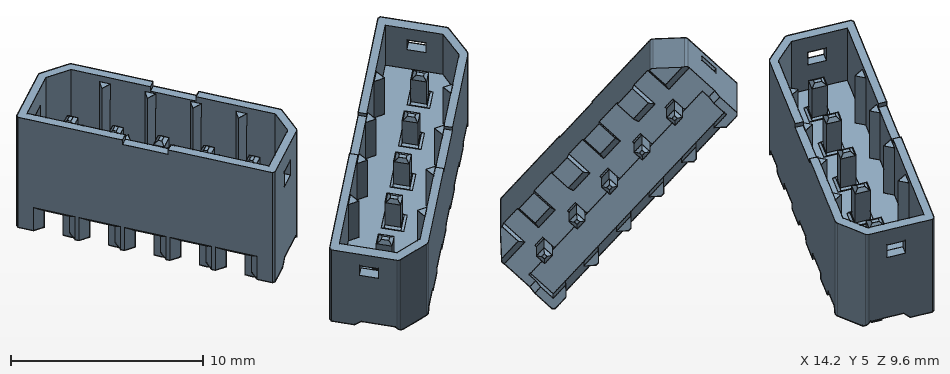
import cadquery as cq
import math


PIN_COUNT = 5
PITCH = 2.5

LENGTH = 14.2
DEPTH = 5.0
HEIGHT = 7.5
WALL = 0.45
FLOOR_Z = 3.3
REAR_DRAFT = 0.04
POLARITY_CHAMFER = 1.3
POLARITY_FILLET = 0.5 / 2
CORNER_CHAMFER = 0.11

NOTCH_WIDTH = PITCH
NOTCH_DEPTH = 0.3
WINDOW_SIZE = 1.01
WINDOW_Y = -0.4
WINDOW_Z = 5.8

RIB_COUNT = PIN_COUNT - 1
RIB_WIDTH = 0.61
RIB_DEPTH = 0.5
RIB_TOP_GAP = 0.4

PIN_Y = 0.1
PIN_WIDTH = 0.6
BLADE_DEPTH = 0.8
TAIL_DEPTH = PIN_WIDTH
PIN_TOP_Z = 5.88
PIN_BOTTOM_Z = -2.1
PIN_POINT = 0.2
BLADE_SHELF = 0.04
BLADE_FRONT = PIN_Y - BLADE_DEPTH / 2 - BLADE_SHELF

PAD_WIDTH = 1.0
PAD_BASE_DEPTH = 1.19
PAD_TOP_DEPTH = 0.9
PAD_HEIGHT = 0.05

CHANNEL_HEIGHT = 0.45
CHANNEL_ROOF_WIDTH = 1.8
CHANNEL_MOUTH_WIDTH = 2.51
POCKET_WIDTH = 1.39
POCKET_HEIGHT = 1.12
POCKET_FLARE = WALL
REAR_NOTCH_MOUTH = 1.3
REAR_NOTCH_ROOF = 1.05

CUT_MARGIN = 0.14


def row_positions(count):
    """X positions of a centred row with the pin pitch."""
    return [(i - (count - 1) / 2) * PITCH for i in range(count)]


def block(x_range, y_range, z_range):
    """Box given by its limits along each axis."""
    size = [high - low for low, high in (x_range, y_range, z_range)]
    corner = (x_range[0], y_range[0], z_range[0])
    return cq.Workplane("XY").box(*size, centered=False).translate(corner)


def outline(inset, chamfer, lean=0.0):
    """Plan points of the shell, offset inwards; `lean` moves its +Y side further in."""
    x = LENGTH / 2 - inset
    y = DEPTH / 2 - inset
    rear = y - lean
    return [
        (-x, -y),
        (x, -y),
        (x, y - chamfer),
        (x - chamfer, rear),
        (chamfer - x, rear),
        (-x, y - chamfer),
    ]


def make_cavity():
    """Open-topped cavity whose +Y wall leans inwards towards the floor."""
    chamfer = POLARITY_CHAMFER - WALL * (2 - math.sqrt(2))
    floor = cq.Workplane("XY", origin=(0, 0, FLOOR_Z))
    floor = floor.polyline(outline(WALL, chamfer, REAR_DRAFT)).close()
    rim = floor.workplane(offset=HEIGHT - FLOOR_Z).polyline(outline(WALL, chamfer)).close()
    return rim.loft(ruled=True)


def make_shell():
    """Outer block with its corner treatment and the open-topped cavity."""
    shell = cq.Workplane("XY").polyline(outline(0, POLARITY_CHAMFER)).close().extrude(HEIGHT)
    shell = shell.edges("|Z and <Y").chamfer(CORNER_CHAMFER)
    front_limit = DEPTH / 2 - POLARITY_CHAMFER - CUT_MARGIN
    rear_edges = cq.selectors.BoxSelector((-LENGTH, front_limit, 0), (LENGTH, DEPTH, HEIGHT))
    shell = shell.edges("|Z").edges(rear_edges).fillet(POLARITY_FILLET)
    return shell.cut(make_cavity())


def make_rib(x, side):
    """Triangular rib on the cavity floor; `side` is -1 for the -Y wall and 1 for the +Y wall."""
    wall_y = DEPTH / 2 - WALL
    root_y = wall_y + WALL / 2
    half = RIB_WIDTH / 2
    points = [
        (x - half, side * root_y),
        (x - half, side * wall_y),
        (x, side * (wall_y - RIB_DEPTH)),
        (x + half, side * wall_y),
        (x + half, side * root_y),
    ]
    height = HEIGHT - RIB_TOP_GAP - FLOOR_Z
    return cq.Workplane("XY", origin=(0, 0, FLOOR_Z)).polyline(points).close().extrude(height)


def trapezoid_prism(plane, centre, bottom_width, top_width, height, length):
    """Symmetric trapezoid with its base at `centre`, extruded by `length` along the plane normal."""
    points = [
        (-bottom_width / 2, 0),
        (bottom_width / 2, 0),
        (top_width / 2, height),
        (-top_width / 2, height),
    ]
    return cq.Workplane(plane, origin=centre).polyline(points).close().extrude(length)


def make_pad(x):
    """Low pad around a pin, sloping down on its +Y and -Y sides."""
    start = (x - PAD_WIDTH / 2, PIN_Y, FLOOR_Z)
    return trapezoid_prism("YZ", start, PAD_BASE_DEPTH, PAD_TOP_DEPTH, PAD_HEIGHT, PAD_WIDTH)


def make_rim_notch():
    """Shallow notch across both long walls at the rim."""
    return block(
        (-NOTCH_WIDTH / 2, NOTCH_WIDTH / 2), (-DEPTH, DEPTH), (HEIGHT - NOTCH_DEPTH, HEIGHT + CUT_MARGIN)
    )


def make_windows():
    """Square opening through both end walls."""
    return cq.Workplane("XY").box(2 * LENGTH, WINDOW_SIZE, WINDOW_SIZE).translate((0, WINDOW_Y, WINDOW_Z))


def make_channel():
    """Trapezoid channel, widest at the bottom, along the whole underside."""
    start = (-LENGTH, PIN_Y, 0)
    return trapezoid_prism("YZ", start, CHANNEL_MOUTH_WIDTH, CHANNEL_ROOF_WIDTH, CHANNEL_HEIGHT, 2 * LENGTH)


def make_front_hollow():
    """Hollow between the -Y wall and the pin blades, closed by the end walls."""
    half = LENGTH / 2 - WALL
    return block((-half, half), (WALL - DEPTH / 2, BLADE_FRONT), (0, POCKET_HEIGHT))


def make_front_pocket(x):
    """Pocket through the -Y wall, flared at 45 degrees on its top and sides."""
    return (
        cq.Workplane("XZ", origin=(x, -DEPTH / 2, 0))
        .rect(POCKET_WIDTH + 2 * POCKET_FLARE, 2 * (POCKET_HEIGHT + POCKET_FLARE))
        .workplane(offset=-POCKET_FLARE)
        .rect(POCKET_WIDTH, 2 * POCKET_HEIGHT)
        .loft(ruled=True)
    )


def make_rear_notch(index, x):
    """Notch from the channel out through the +Y wall: tapered and straight ones alternate."""
    tapered = index % 2 == 0
    mouth = REAR_NOTCH_MOUTH if tapered else POCKET_WIDTH
    roof = REAR_NOTCH_ROOF if tapered else POCKET_WIDTH
    return trapezoid_prism("XZ", (x, DEPTH, 0), mouth, roof, CHANNEL_HEIGHT, DEPTH - PIN_Y)


def blade_block(x, bottom_z, top_z):
    """Straight part of a pin blade, also used to cut its hole in the floor."""
    half = PIN_WIDTH / 2
    return block((x - half, x + half), (BLADE_FRONT, PIN_Y + BLADE_DEPTH / 2), (bottom_z, top_z))


def make_housing():
    housing = make_shell()
    for x in row_positions(RIB_COUNT):
        housing = housing.union(make_rib(x, -1)).union(make_rib(x, 1))
    housing = housing.cut(make_rim_notch()).cut(make_windows())
    housing = housing.cut(make_channel()).cut(make_front_hollow())
    for index, x in enumerate(row_positions(PIN_COUNT)):
        housing = housing.union(make_pad(x))
        housing = housing.cut(make_front_pocket(x)).cut(make_rear_notch(index, x))
        housing = housing.cut(blade_block(x, 0, HEIGHT))
    return housing


def make_pin(x):
    """Blade above the channel roof and a thinner tail below it, both with pointed ends."""
    point_z = PIN_TOP_Z - PIN_POINT
    blade = blade_block(x, CHANNEL_HEIGHT, point_z)
    point = cq.Workplane("XY", origin=(x, PIN_Y, point_z)).rect(PIN_WIDTH, BLADE_DEPTH)
    point = point.extrude(PIN_POINT, taper=45)
    tail = cq.Workplane("XY", origin=(x, PIN_Y, CHANNEL_HEIGHT)).rect(PIN_WIDTH, TAIL_DEPTH)
    tail = tail.extrude(PIN_BOTTOM_Z - CHANNEL_HEIGHT)
    tail = tail.faces("<Z").chamfer(PIN_POINT)
    return blade.union(point).union(tail)


housing = make_housing()
pins = [make_pin(x) for x in row_positions(PIN_COUNT)]

result = cq.Compound.makeCompound([housing.solids().val(), *[pin.solids().val() for pin in pins]])